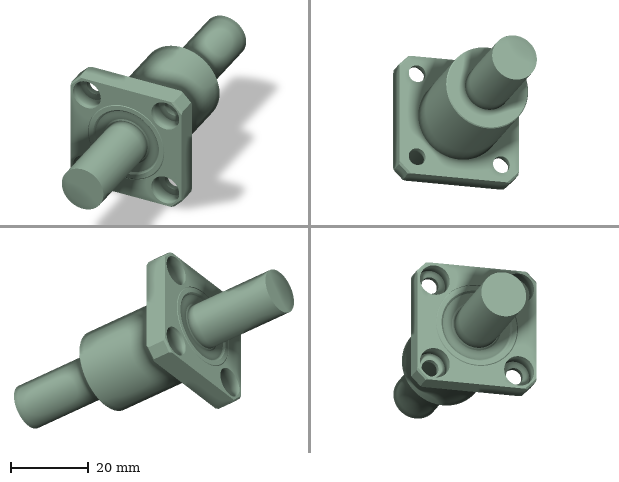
import cadquery as cq

SHAFT_DIAMETER = 12.0
SHAFT_OVERHANG = 25.0

SLEEVE_DIAMETER = 22.0
SLEEVE_LENGTH = 32.0
SLEEVE_EDGE_CHAMFER = 0.25

FLANGE_SIDE = 32.0
FLANGE_THICKNESS = 6.0
CORNER_CUT = 2.4
CORNER_EDGE_CHAMFER = 0.5

HOLE_SPACING = 22.6
HOLE_DIAMETER = 4.5
COUNTERBORE_DIAMETER = 8.0
COUNTERBORE_DEPTH = 4.4

SEAL_DIAMETER = 18.0
SEAL_RECESS_DEPTH = 0.5
SEAL_RECESS_MOUTH_DIAMETER = 19.0
LIP_BASE_DIAMETER = 13.2
LIP_TIP_DIAMETER = 12.5
LIP_HEIGHT = 0.25

FRONT_Y = -SLEEVE_LENGTH / 2


def revolved(profile):
    """Solid of revolution about Y from (radius, y) points."""
    return cq.Workplane("XY").polyline(profile).close().revolve(360, (0, 0, 0), (0, 1, 0))


def cylinder(diameter, y_start, length, centres=((0, 0),)):
    """Cylinders along +Y, starting at y_start, at the given (x, z) centres."""
    plane = cq.Plane(origin=(0, y_start, 0), xDir=(1, 0, 0), normal=(0, 1, 0))
    return cq.Workplane(plane).pushPoints(centres).circle(diameter / 2).extrude(length)


def make_flange():
    """Square plate with cut corners; only the corner faces have chamfered edges."""
    flange = (
        cq.Workplane("XY")
        .box(FLANGE_SIDE, FLANGE_THICKNESS, FLANGE_SIDE)
        .edges("|Y")
        .chamfer(CORNER_CUT)
        .edges("(<Y or >Y) and (not (|X or |Z))")
        .chamfer(CORNER_EDGE_CHAMFER)
    )
    return flange.translate((0, FRONT_Y + FLANGE_THICKNESS / 2, 0))


def make_sleeve():
    """Solid sleeve with a chamfered rear edge."""
    sleeve = cylinder(SLEEVE_DIAMETER, FRONT_Y, SLEEVE_LENGTH)
    return sleeve.faces(">Y").edges().chamfer(SLEEVE_EDGE_CHAMFER)


def make_sleeve_groove():
    """Small groove in the front face where the chamfered sleeve meets the flange."""
    outer = SLEEVE_DIAMETER / 2
    return revolved([
        (outer, FRONT_Y),
        (outer, FRONT_Y + SLEEVE_EDGE_CHAMFER),
        (outer - SLEEVE_EDGE_CHAMFER, FRONT_Y),
    ])


def make_seal_recess():
    """Ring-shaped recess: conical outer wall, flat floor, low conical lip at the shaft."""
    shaft_radius = SHAFT_DIAMETER / 2
    floor_y = FRONT_Y + SEAL_RECESS_DEPTH
    lip_y = floor_y - LIP_HEIGHT
    return revolved([
        (SEAL_RECESS_MOUTH_DIAMETER / 2, FRONT_Y),
        (SEAL_DIAMETER / 2, floor_y),
        (LIP_BASE_DIAMETER / 2, floor_y),
        (LIP_TIP_DIAMETER / 2, lip_y),
        (shaft_radius, lip_y),
        (shaft_radius, FRONT_Y),
    ])


def make_mounting_holes():
    """Four through holes with counterbores sunk from the front face."""
    half = HOLE_SPACING / 2
    centres = [(x, z) for x in (-half, half) for z in (-half, half)]
    holes = cylinder(HOLE_DIAMETER, FRONT_Y, FLANGE_THICKNESS, centres)
    counterbores = cylinder(COUNTERBORE_DIAMETER, FRONT_Y, COUNTERBORE_DEPTH, centres)
    return holes.union(counterbores)


def make_shaft():
    """Plain shaft projecting equally from both ends of the sleeve."""
    length = SLEEVE_LENGTH + 2 * SHAFT_OVERHANG
    return cylinder(SHAFT_DIAMETER, -length / 2, length)


result = (
    make_flange()
    .union(make_sleeve())
    .cut(make_mounting_holes())
    .cut(make_sleeve_groove())
    .cut(make_seal_recess())
    .union(make_shaft())
)